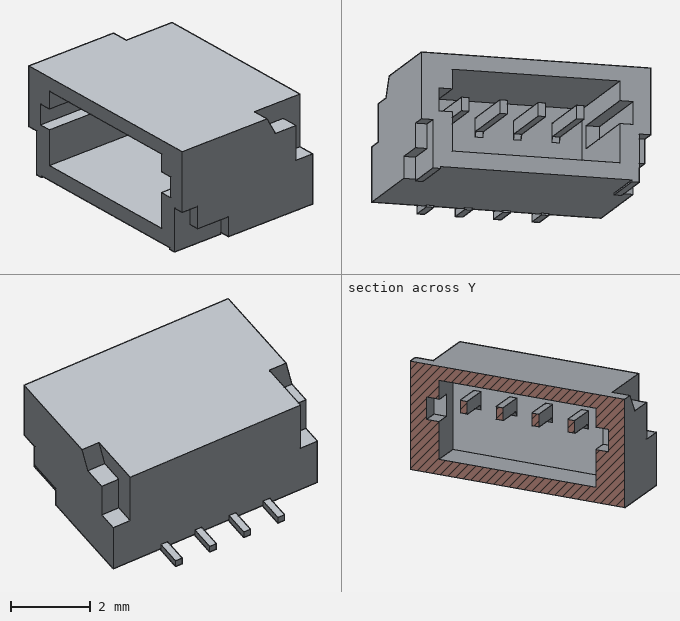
import cadquery as cq

width = 6.0
depth = 4.25
height = 2.91
standoff = 0.05
half_width = width / 2

cavity_half_width = 2.19
cavity_floor = 0.42
cavity_top = height - 0.39
cavity_depth = 3.24

groove_half_width = 2.54
groove_top = height - 0.895
groove_bottom = height - 1.48
groove_depth = 2.88

contact_count = 4
contact_pitch = 1.0
contact_width = 0.2
pin_length = 2.1
pin_top = height - 0.81
pin_bottom = height - 1.16
pin_root_height = 0.14
pin_root_length = 0.06
tail_thickness = 0.2
tail_overhang = 0.7
tail_overlap = 0.115

relief_width = 0.5
relief_lower_length = 0.545
relief_lower_drop = 1.49
relief_step_length = 1.21
relief_top_length = 1.49
relief_step_drop = 0.505

pocket_width = 0.3
tab_thickness = 0.2
tab_length = 1.505
tab_low_height = 0.61
tab_front_length = 0.505
tab_full_height = 1.24


def box(x0, x1, y0, y1, z0, z1):
    """Block spanning the given coordinate ranges."""
    return cq.Workplane("XY").box(x1 - x0, y1 - y0, z1 - z0, centered=False).translate((x0, y0, z0))


def side_profile(points, x0, x1):
    """Solid with a (Y, Z) outline, spanning x0 to x1."""
    return cq.Workplane("YZ").polyline(points).close().extrude(x1 - x0).translate((x0, 0, 0))


def both_sides(solid):
    """The solid together with its mirror image across X = 0."""
    return solid.union(solid.mirror("YZ"))


def make_housing():
    body = box(-half_width, half_width, 0, depth, 0, height)
    cavity = box(-cavity_half_width, cavity_half_width, 0, cavity_depth, cavity_floor, cavity_top)
    grooves = box(-groove_half_width, groove_half_width, 0, groove_depth, groove_bottom, groove_top)
    relief = side_profile(
        [
            (depth, height),
            (depth - relief_top_length, height),
            (depth - relief_step_length, height - relief_step_drop),
            (depth - relief_lower_length, height - relief_step_drop),
            (depth - relief_lower_length, height - relief_lower_drop),
            (depth, height - relief_lower_drop),
        ],
        -half_width,
        -half_width + relief_width,
    )
    return body.cut(cavity).cut(grooves).cut(both_sides(relief))


def tab_block(x0, x1):
    """Stepped solder tab outline, used for both the pocket and the tab."""
    bottom = -standoff
    return side_profile(
        [
            (0, bottom),
            (tab_length, bottom),
            (tab_length, bottom + tab_low_height),
            (tab_front_length, bottom + tab_low_height),
            (tab_front_length, bottom + tab_full_height),
            (0, bottom + tab_full_height),
        ],
        x0,
        x1,
    )


def make_contact(x):
    """Pin inside the cavity and solder tail behind the housing, centred on x."""
    left = x - contact_width / 2
    right = x + contact_width / 2
    tip = cavity_depth - pin_length
    pin = side_profile(
        [
            (cavity_depth, pin_top),
            (tip, pin_top),
            (tip, pin_bottom),
            (cavity_depth - pin_root_length, pin_bottom),
            (cavity_depth, pin_bottom - pin_root_height),
        ],
        left,
        right,
    )
    tail = box(left, right, depth - tail_overlap, depth + tail_overhang,
               -standoff, tail_thickness - standoff)
    return pin, tail


tab_outer_x = -half_width + pocket_width
result = make_housing()
result = result.cut(both_sides(tab_block(-half_width, tab_outer_x)))
result = result.union(both_sides(tab_block(tab_outer_x, tab_outer_x + tab_thickness)))
for index in range(contact_count):
    contact_x = (index - (contact_count - 1) / 2) * contact_pitch
    for piece in make_contact(contact_x):
        result = result.union(piece)